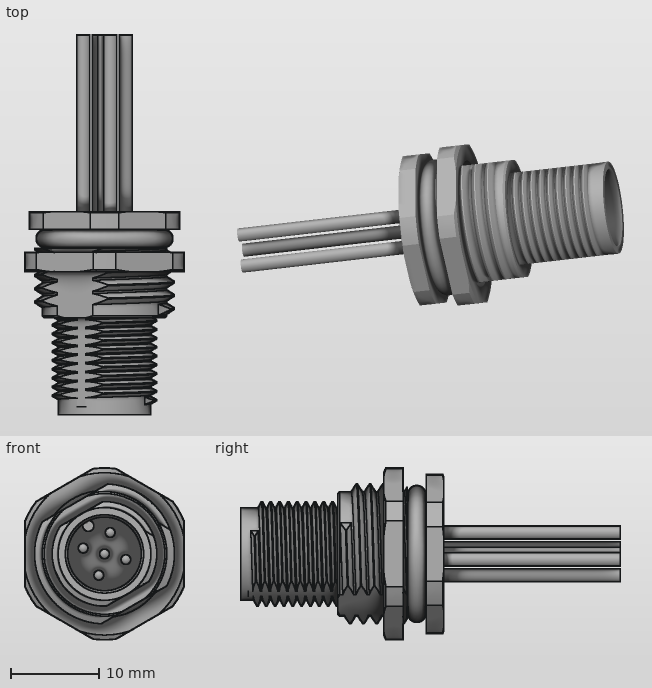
import cadquery as cq
import math


OVERALL_LENGTH = 43.0
COLLAR_LENGTH = 0.9
SHOULDER_Y = 11.0
NUT_FRONT_Y = 16.2
NUT_BACK_Y = 18.4
GROOVE_FRONT_Y = 18.85
FLANGE_FRONT_Y = 21.0
FLANGE_BACK_Y = 23.0

KEY_ANGLE = 120.0
THREAD_START_ANGLE = KEY_ANGLE - 90.0

SMALL_CORE_RADIUS = 5.25
SMALL_CREST_RADIUS = 5.92
SMALL_PITCH = 1.0
SMALL_THREAD_START_Y = 1.58
SMALL_FLAT_DISTANCE = 5.22

LARGE_CORE_RADIUS = 7.05
LARGE_CREST_RADIUS = 7.92
LARGE_PITCH = 1.5
LARGE_THREAD_START_Y = 11.9
LARGE_FLAT_DISTANCE = 6.66
LARGE_CHAMFER = 0.22

BASE_TO_PITCH = 0.84
CREST_WIDTH = 0.12
THREAD_EMBED = 0.1
LEAD_IN_ANGLE = 10.0

GROOVE_RADIUS = 6.0
RING_TUBE_RADIUS = 1.0
RING_OUTER_RADIUS = 7.75
RING_CENTER_Y = 19.95

HEXAGON_SIDES = 6
NUT_FLATS = 18.0
NUT_CORNERS = 19.48
NUT_BORE_RADIUS = 7.2
NUT_CHAMFER_RADIAL = 0.55
NUT_CHAMFER_AXIAL = 0.25
FLANGE_FLATS = 17.0
FLANGE_CORNERS = 18.08
FLANGE_CHAMFER_RADIAL = 0.35
FLANGE_CHAMFER_AXIAL = 0.13

BORE_RADIUS = 4.17
MOUTH_RADIUS = 4.44
MOUTH_DEPTH = 0.7
BORE_DEPTH = 8.5
KEY_RADIUS = 0.62
KEY_CENTER_RADIUS = 3.66
CONTACT_CIRCLE_RADIUS = 2.5
CONTACT_COUNT = 4
CONTACT_FRONT_Y = 2.0
PIN_RADIUS = 0.55
WIRE_RADIUS = 0.75
WIRE_EMBED = 1.0


def cylinder(radius, y_start, y_end, x=0.0, z=0.0):
    """Cylinder along Y between two stations."""
    base = cq.Workplane("XZ", origin=(x, y_start, z))
    return base.circle(radius).extrude(y_start - y_end)


def revolved(points):
    """Solid of revolution about Y from (radius, y) points."""
    return cq.Workplane("XY").polyline(points).close().revolve(360, (0, 0, 0), (0, 1, 0))


def polar(radius, angle):
    """X and Z of a point at a radius and an angle from +X towards +Z."""
    turn = math.radians(angle)
    return radius * math.cos(turn), radius * math.sin(turn)


def thread(core_radius, crest_radius, pitch, start_y, end_y):
    """Right-handed ridge winding around Y, starting at THREAD_START_ANGLE."""
    slope = (pitch * BASE_TO_PITCH - CREST_WIDTH) / 2 / (crest_radius - core_radius)
    half_crest = CREST_WIDTH / 2
    half_base = half_crest + slope * (crest_radius - core_radius + THREAD_EMBED)
    base_radius = core_radius - THREAD_EMBED
    helix = cq.Wire.makeHelix(pitch, end_y - start_y, core_radius)
    ridge = (
        cq.Workplane("XZ")
        .polyline([
            (base_radius, -half_base),
            (crest_radius, -half_crest),
            (crest_radius, half_crest),
            (base_radius, half_base),
        ])
        .close()
        .sweep(cq.Workplane(helix), isFrenet=True)
    )
    along_y = ridge.rotate((0, 0, 0), (1, 0, 0), -90)
    turned = along_y.rotate((0, 0, 0), (0, 1, 0), -THREAD_START_ANGLE)
    lead_in = (
        cq.Workplane("XZ", origin=(0, -pitch / 2, 0))
        .polyline([
            polar(core_radius, THREAD_START_ANGLE),
            polar(crest_radius, THREAD_START_ANGLE - LEAD_IN_ANGLE),
            polar(crest_radius + pitch, THREAD_START_ANGLE),
        ])
        .close()
        .extrude(-pitch)
    )
    return turned.cut(lead_in).translate((0, start_y, 0))


def cut_flats(body, distance, y_start, y_end):
    """Trim the body to two flats square to the key direction; ahead of y_start it stays whole.

    The body must not reach beyond y_end.
    """
    reach = 4 * distance
    length = y_end - y_start
    bar = (
        cq.Workplane("XY")
        .box(2 * distance, length, reach)
        .translate((0, y_start + length / 2, 0))
        .rotate((0, 0, 0), (0, 1, 0), -KEY_ANGLE)
    )
    front = cylinder(reach, y_start - OVERALL_LENGTH, y_start)
    return body.intersect(bar.union(front), clean=False)


def make_small_body():
    core = cylinder(SMALL_CORE_RADIUS, 0, SHOULDER_Y + SMALL_PITCH)
    ridge = thread(
        SMALL_CORE_RADIUS, SMALL_CREST_RADIUS, SMALL_PITCH,
        SMALL_THREAD_START_Y, SHOULDER_Y + SMALL_PITCH / 2,
    )
    flats_end_y = SHOULDER_Y + 2 * SMALL_PITCH
    flat_ridge = cut_flats(ridge, SMALL_FLAT_DISTANCE, COLLAR_LENGTH, flats_end_y)
    body = core.union(flat_ridge, clean=False)
    return cut_flats(body, SMALL_FLAT_DISTANCE, COLLAR_LENGTH, flats_end_y)


def make_large_body():
    core = revolved([
        (0, SHOULDER_Y),
        (LARGE_CORE_RADIUS - LARGE_CHAMFER, SHOULDER_Y),
        (LARGE_CORE_RADIUS, SHOULDER_Y + LARGE_CHAMFER),
        (LARGE_CORE_RADIUS, FLANGE_FRONT_Y),
        (0, FLANGE_FRONT_Y),
    ])
    ridge = thread(
        LARGE_CORE_RADIUS, LARGE_CREST_RADIUS, LARGE_PITCH,
        LARGE_THREAD_START_Y, GROOVE_FRONT_Y + LARGE_PITCH / 2,
    )
    body = core.union(ridge, clean=False)
    body = cut_flats(body, LARGE_FLAT_DISTANCE, SHOULDER_Y, FLANGE_FRONT_Y)
    groove = cylinder(2 * LARGE_CREST_RADIUS, GROOVE_FRONT_Y, FLANGE_FRONT_Y)
    groove = groove.cut(cylinder(GROOVE_RADIUS, GROOVE_FRONT_Y, FLANGE_FRONT_Y))
    return body.cut(groove, clean=False)


def make_o_ring():
    center_radius = RING_OUTER_RADIUS - RING_TUBE_RADIUS
    return (
        cq.Workplane("XY", origin=(-center_radius, RING_CENTER_Y, 0))
        .circle(RING_TUBE_RADIUS)
        .revolve(360, (center_radius, 0, 0), (center_radius, 1, 0))
    )


def hexagon(flats, y_start, y_end, envelope):
    """Hexagon with flats facing +X and -X, its corners turned down to the envelope."""
    half_side_angle = 180 / HEXAGON_SIDES
    point_to_point = flats / math.cos(math.radians(half_side_angle))
    prism = (
        cq.Workplane("XZ", origin=(0, y_start, 0))
        .polygon(HEXAGON_SIDES, point_to_point)
        .extrude(y_start - y_end)
        .rotate((0, 0, 0), (0, 1, 0), half_side_angle)
    )
    return prism.intersect(envelope)


def make_nut():
    """Nut joined to the body threads, with gaps left over the two flats."""
    radius = NUT_CORNERS / 2
    envelope = revolved([
        (0, NUT_FRONT_Y),
        (radius - NUT_CHAMFER_RADIAL, NUT_FRONT_Y),
        (radius, NUT_FRONT_Y + NUT_CHAMFER_AXIAL),
        (radius, NUT_BACK_Y),
        (0, NUT_BACK_Y),
    ])
    blank = hexagon(NUT_FLATS, NUT_FRONT_Y, NUT_BACK_Y, envelope)
    bore = cylinder(NUT_BORE_RADIUS, NUT_FRONT_Y, NUT_BACK_Y)
    filling = cut_flats(bore, LARGE_FLAT_DISTANCE, NUT_FRONT_Y, NUT_BACK_Y)
    return blank.cut(bore.cut(filling))


def make_flange():
    radius = FLANGE_CORNERS / 2
    envelope = revolved([
        (0, FLANGE_FRONT_Y),
        (radius, FLANGE_FRONT_Y),
        (radius, FLANGE_BACK_Y - FLANGE_CHAMFER_AXIAL),
        (radius - FLANGE_CHAMFER_RADIAL, FLANGE_BACK_Y),
        (0, FLANGE_BACK_Y),
    ])
    return hexagon(FLANGE_FLATS, FLANGE_FRONT_Y, FLANGE_BACK_Y, envelope)


def make_socket():
    """Volume of the socket: tapered mouth and plain bore, less the coding key."""
    socket = revolved([
        (0, 0),
        (MOUTH_RADIUS, 0),
        (BORE_RADIUS, MOUTH_DEPTH),
        (BORE_RADIUS, BORE_DEPTH),
        (0, BORE_DEPTH),
    ])
    key_x, key_z = polar(KEY_CENTER_RADIUS, KEY_ANGLE)
    return socket.cut(cylinder(KEY_RADIUS, CONTACT_FRONT_Y, BORE_DEPTH, key_x, key_z))


def contact_points():
    """Centre contact, then the ring of contacts set midway around the key."""
    points = [(0.0, 0.0)]
    step = 360 / CONTACT_COUNT
    for index in range(CONTACT_COUNT):
        points.append(polar(CONTACT_CIRCLE_RADIUS, KEY_ANGLE + step * (index + 0.5)))
    return points


def make_pin(x, z):
    """Contact pin with a hemispherical tip."""
    dome_y = CONTACT_FRONT_Y + PIN_RADIUS
    shaft = cylinder(PIN_RADIUS, dome_y, BORE_DEPTH + WIRE_EMBED, x, z)
    tip = cq.Workplane("XY").sphere(PIN_RADIUS).translate((x, dome_y, z))
    return shaft.union(tip)


def make_contacts():
    """Pins in the socket, each with a wire of its own at the back."""
    contacts = cq.Workplane("XY")
    for x, z in contact_points():
        contacts = contacts.add(make_pin(x, z))
        contacts = contacts.add(cylinder(WIRE_RADIUS, FLANGE_BACK_Y - WIRE_EMBED, OVERALL_LENGTH, x, z))
    return contacts


def make_connector():
    back = make_flange().union(make_o_ring())
    part = make_large_body().union(back, clean=False)
    part = part.union(make_nut(), clean=False)
    part = part.union(make_small_body(), clean=False)
    part = part.cut(make_socket(), clean=False)
    return part.union(make_contacts(), clean=False)


result = make_connector()